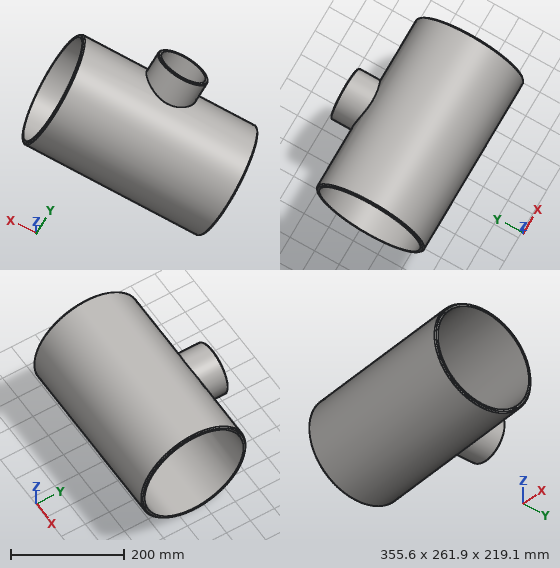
import cadquery as cq

run_length = 355.6
run_diameter = 219.075
run_wall = 6.35
run_bevel_depth = 2.4
run_bevel_length = 2.4

branch_reach = 152.4
branch_diameter = 101.6
branch_wall = 5.74
branch_bevel_depth = 1.4
branch_bevel_length = 1.4


def run_body():
    """Solid run cylinder with a weld bevel around each end."""
    end = run_length / 2
    radius = run_diameter / 2
    face_radius = radius - run_bevel_depth
    bevel_start = end - run_bevel_length
    return (
        cq.Workplane("XY")
        .moveTo(-end, 0)
        .lineTo(-end, face_radius)
        .lineTo(-bevel_start, radius)
        .lineTo(bevel_start, radius)
        .lineTo(end, face_radius)
        .lineTo(end, 0)
        .close()
        .revolve(360, (0, 0, 0), (1, 0, 0))
    )


def branch_body():
    """Solid branch cylinder, from the run axis to its bevelled open end."""
    radius = branch_diameter / 2
    return (
        cq.Workplane("XY")
        .lineTo(radius, 0)
        .lineTo(radius, branch_reach - branch_bevel_length)
        .lineTo(radius - branch_bevel_depth, branch_reach)
        .lineTo(0, branch_reach)
        .close()
        .revolve(360, (0, 0, 0), (0, 1, 0))
    )


def run_bore():
    """Bore through the full length of the run."""
    bore_radius = run_diameter / 2 - run_wall
    return cq.Workplane("YZ").circle(bore_radius).extrude(run_length / 2, both=True)


def branch_bore():
    """Bore from the run axis out through the branch end."""
    bore_radius = branch_diameter / 2 - branch_wall
    return cq.Workplane("XZ").circle(bore_radius).extrude(-branch_reach)


result = run_body().union(branch_body()).cut(run_bore()).cut(branch_bore())